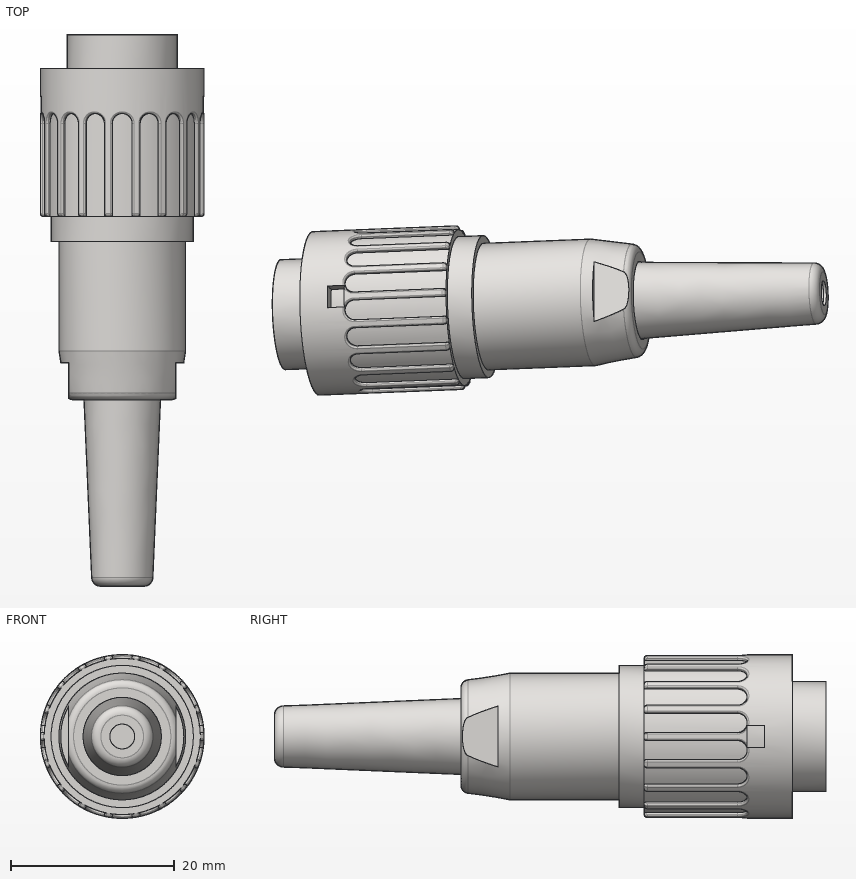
import cadquery as cq

length = 67.4
nose_length = 4.1
ring_length = 18.1
collar_length = 3.0
body_length = 13.35
cone_length = 6.0

nose_radius = 13.5 / 2
ring_radius = 20.0 / 2
collar_radius = 17.4 / 2
body_radius = 15.5 / 2
cone_end_radius = 13.6 / 2
cone_end_fillet = 1.0

tail_tip_radius = 7.4 / 2
tail_tip_fillet = 1.15
cable_hole_diameter = 3.0
cable_lip_thickness = 0.35
cable_cavity_diameter = 4.7
cable_cavity_depth = 6.05

socket_diameter = 9.6
socket_depth = 2.35
tail_root_radius = socket_diameter / 2

ring_front = length - nose_length
ring_back = ring_front - ring_length
collar_back = ring_back - collar_length
cone_start = collar_back - body_length
cone_end = cone_start - cone_length

groove_count = 18
groove_width = 2.4
groove_depth = 0.5
groove_length = 12.6
rim_fillet = 0.2
ring_back_fillet = 0.4

inner_shell_radius = 15.5 / 2
window_width = 2.7
window_length = 2.1
window_setback = 3.45

flat_spacing = 13.1
flat_front = cone_start - 1.5


def cylinder_along_y(radius, y_start, y_end):
    return cq.Workplane("XZ", origin=(0, y_start, 0)).circle(radius).extrude(y_start - y_end)


def cone_along_y(start_radius, end_radius, y_start, y_end):
    outline = [(0, y_start), (start_radius, y_start), (end_radius, y_end), (0, y_end)]
    return cq.Workplane("XY").polyline(outline).close().revolve(360, (0, 0, 0), (0, 1, 0))


def tail():
    tapered = cone_along_y(tail_tip_radius, tail_root_radius, 0, cone_end + socket_depth)
    rounded = tapered.faces("<Y").edges().fillet(tail_tip_fillet)
    cavity = cylinder_along_y(cable_cavity_diameter / 2, cable_lip_thickness, cable_cavity_depth)
    return rounded.cut(cavity).cut(cylinder_along_y(cable_hole_diameter / 2, 0, cable_lip_thickness))


def body():
    cone = cone_along_y(cone_end_radius, body_radius, cone_end, cone_start)
    cone = cone.faces("<Y").edges().fillet(cone_end_fillet)
    for side in (-1, 1):
        flat_cut = cq.Workplane("XY").box(body_radius, flat_front - cone_end, 2 * body_radius)
        flat_x = side * (flat_spacing + body_radius) / 2
        cone = cone.cut(flat_cut.translate((flat_x, (flat_front + cone_end) / 2, 0)))
    barrel = cylinder_along_y(body_radius, cone_start, collar_back)
    collar = cylinder_along_y(collar_radius, collar_back, ring_back)
    cone = cone.cut(cylinder_along_y(socket_diameter / 2, cone_end, cone_end + socket_depth))
    return cone.union(barrel).union(collar)


def grip_groove():
    """Round-ended groove at +Z, with straight walls and a floor following the ring's curve."""
    front_end = ring_back + groove_length
    slot_length = 2 * groove_length
    slot = (
        cq.Workplane("XY", origin=(0, front_end - slot_length / 2, 0))
        .slot2D(slot_length, groove_width, 90)
        .extrude(2 * ring_radius)
    )
    floor_radius = ring_radius - groove_depth
    return slot.cut(cylinder_along_y(floor_radius, front_end - slot_length, front_end))


def ring():
    sleeve = cylinder_along_y(ring_radius, ring_back, ring_front)
    sleeve = sleeve.faces("<Y").edges().fillet(ring_back_fillet)
    groove = grip_groove()
    for index in range(groove_count):
        angle = index * 360 / groove_count
        sleeve = sleeve.cut(groove.rotate((0, 0, 0), (0, 1, 0), angle))
    outer_face = max(sleeve.faces("%CYLINDER").vals(), key=lambda face: face.Area())
    groove_rims = [edge for edge in outer_face.Edges() if edge.BoundingBox().ylen > rim_fillet]
    sleeve = sleeve.newObject(groove_rims).fillet(rim_fillet)
    return sleeve.cut(windows())


def windows():
    through = cq.Workplane("XY").box(2 * ring_radius, window_length, window_width)
    through = through.translate((0, ring_front - window_setback - window_length / 2, 0))
    return through.cut(cylinder_along_y(inner_shell_radius, ring_back, ring_front))


nose = cylinder_along_y(nose_radius, ring_front, length)
result = body().union(tail()).union(ring()).union(nose)